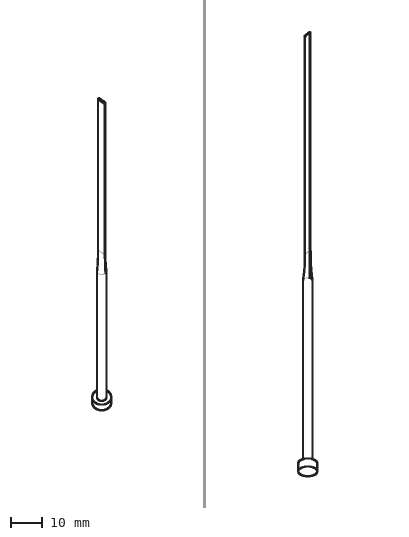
import cadquery as cq

total_length = 160.0
head_diameter = 6.0
head_thickness = 3.0

shank_diameter = 3.0
shank_top = 70.0

blade_width = 2.8
blade_thickness = 0.5
blade_bottom = total_length / 2


def make_head():
    return cq.Workplane("XY").circle(head_diameter / 2).extrude(head_thickness)


def make_shank():
    shank_length = shank_top - head_thickness
    return (
        cq.Workplane("XY")
        .workplane(offset=head_thickness)
        .circle(shank_diameter / 2)
        .extrude(shank_length)
    )


def make_transition():
    """Taper that blends the round shank into the rectangular blade."""
    return (
        cq.Workplane("XY")
        .workplane(offset=shank_top)
        .circle(shank_diameter / 2)
        .workplane(offset=blade_bottom - shank_top)
        .rect(blade_width, blade_thickness)
        .loft(ruled=True)
    )


def make_blade():
    blade_length = total_length - blade_bottom
    return (
        cq.Workplane("XY")
        .workplane(offset=blade_bottom)
        .rect(blade_width, blade_thickness)
        .extrude(blade_length)
    )


result = make_head().union(make_shank()).union(make_transition()).union(make_blade())